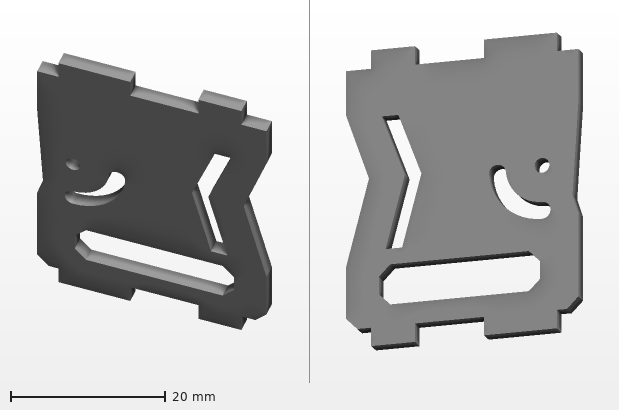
import cadquery as cq
import math

plate_width = 31.69
plate_height = 40.11
thickness = 2.0
tab_height = 2.5
bottom_chamfer = 1.55

wide_tab_offset = 2.94
wide_tab_length = 9.93
tab_gap = 9.40
narrow_tab_length = 5.96

left_notch_top = 10.4
left_notch_root = -2.2
left_notch_bottom = -4.65
left_notch_depth = 0.80

right_notch_top = 11.6
right_notch_bottom = -9.1
right_notch_depth = 3.15

bend_z = 2.70
v_slot_width = 2.25
v_slot_bend_x = 5.55
v_slot_top_x = 8.70
v_slot_top = 10.95
v_slot_bottom_x = 8.18
v_slot_bottom = -7.08

pivot_x = -10.89
pivot_z = 2.24
pivot_diameter = 2.0
arc_radius = 6.09
arc_slot_width = 2.30
arc_start_angle = -90.0
arc_end_angle = -4.7

window_length = 22.0
window_height = 5.43
window_chamfer = 1.55
window_x = 0.35
window_z = -11.93

right_x = plate_width / 2
left_x = -right_x
body_top = plate_height / 2 - tab_height
body_bottom = -body_top


def prism(sketch):
    """Extrude an XZ profile symmetrically about the plate's mid-plane."""
    return sketch.extrude(thickness / 2, both=True)


def make_body():
    outline = [
        (left_x, body_top),
        (right_x, body_top),
        (right_x, right_notch_top),
        (right_x - right_notch_depth, bend_z),
        (right_x, right_notch_bottom),
        (right_x, body_bottom + bottom_chamfer),
        (right_x - bottom_chamfer, body_bottom),
        (left_x + bottom_chamfer, body_bottom),
        (left_x, body_bottom + bottom_chamfer),
        (left_x, left_notch_bottom),
        (left_x + left_notch_depth, left_notch_root),
        (left_x, left_notch_top),
    ]
    return prism(cq.Workplane("XZ").polyline(outline).close())


def make_tab_bar(start_x, length):
    """Full-height bar whose two ends form a top tab and a bottom tab."""
    centre_x = start_x + length / 2
    return prism(cq.Workplane("XZ").center(centre_x, 0).rect(length, plate_height))


def make_v_slot():
    left_side = [
        (v_slot_top_x, v_slot_top),
        (v_slot_bend_x, bend_z),
        (v_slot_bottom_x, v_slot_bottom),
    ]
    right_side = [(x + v_slot_width, z) for x, z in reversed(left_side)]
    return prism(cq.Workplane("XZ").polyline(left_side + right_side).close())


def make_pivot_hole():
    return prism(cq.Workplane("XZ").center(pivot_x, pivot_z).circle(pivot_diameter / 2))


def around_pivot(radius, angle):
    """Point at a polar position about the pivot hole, angle in degrees."""
    turn = math.radians(angle)
    return (pivot_x + radius * math.cos(turn), pivot_z + radius * math.sin(turn))


def cap_tip(angle, direction, end_radius):
    """Extreme point of a rounded slot end, along the tangent of the slot's centreline."""
    x, z = around_pivot(arc_radius, angle)
    turn = math.radians(angle)
    return (x - direction * end_radius * math.sin(turn), z + direction * end_radius * math.cos(turn))


def make_arc_slot():
    end_radius = arc_slot_width / 2
    inner = arc_radius - end_radius
    outer = arc_radius + end_radius
    middle_angle = (arc_start_angle + arc_end_angle) / 2
    start_tip = cap_tip(arc_start_angle, -1, end_radius)
    end_tip = cap_tip(arc_end_angle, 1, end_radius)
    profile = (
        cq.Workplane("XZ")
        .moveTo(*around_pivot(outer, arc_start_angle))
        .threePointArc(around_pivot(outer, middle_angle), around_pivot(outer, arc_end_angle))
        .threePointArc(end_tip, around_pivot(inner, arc_end_angle))
        .threePointArc(around_pivot(inner, middle_angle), around_pivot(inner, arc_start_angle))
        .threePointArc(start_tip, around_pivot(outer, arc_start_angle))
        .close()
    )
    return prism(profile)


def make_window():
    window = prism(cq.Workplane("XZ").center(window_x, window_z).rect(window_length, window_height))
    return window.edges("|Y").chamfer(window_chamfer)


narrow_tab_offset = wide_tab_offset + wide_tab_length + tab_gap

result = make_body()
result = result.union(make_tab_bar(left_x + wide_tab_offset, wide_tab_length))
result = result.union(make_tab_bar(left_x + narrow_tab_offset, narrow_tab_length))
for opening in (make_v_slot(), make_pivot_hole(), make_arc_slot(), make_window()):
    result = result.cut(opening)